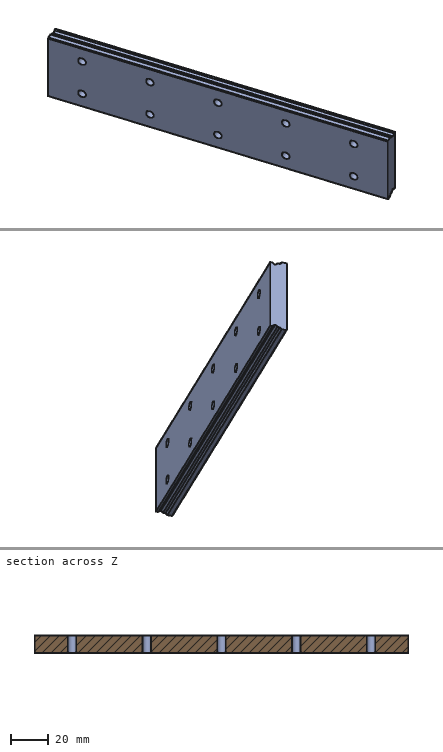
import cadquery as cq

length = 200.0
thickness = 9.5
height = 42.0

edge_chamfer = 0.5
step_height = 1.0
step_run = 1.0
step_from_rear = 5.4

groove_from_rear = 2.7
groove_half_width = 1.7
groove_depth = 1.0
groove_flank_radius = 2.0
lip_width = 0.4
lip_depth = 0.1

hole_diameter = 4.5
hole_columns = 5
hole_rows = 2
column_pitch = 40.0
row_pitch = 23.0

front = -thickness / 2
rear = thickness / 2
top = height / 2
rear_top = top - step_height
step_y = rear - step_from_rear
groove_y = rear - groove_from_rear
flank_half_width = groove_half_width - lip_width
flank_top = rear_top - lip_depth
groove_bottom = rear_top - groove_depth


def plate_body():
    """Upper half of the YZ outline, mirrored about mid-height and extruded along X."""
    return (
        cq.Workplane("YZ")
        .moveTo(front, 0)
        .lineTo(front, top - edge_chamfer)
        .lineTo(front + edge_chamfer, top)
        .lineTo(step_y - step_run, top)
        .lineTo(step_y, rear_top)
        .lineTo(groove_y - groove_half_width, rear_top)
        .lineTo(groove_y - flank_half_width, flank_top)
        .radiusArc((groove_y, groove_bottom), -groove_flank_radius)
        .radiusArc((groove_y + flank_half_width, flank_top), -groove_flank_radius)
        .lineTo(groove_y + groove_half_width, rear_top)
        .lineTo(rear, rear_top)
        .lineTo(rear, 0)
        .mirrorX()
        .extrude(length / 2, both=True)
    )


def mounting_holes():
    """Cylinders running through the full thickness from the rear face."""
    return (
        cq.Workplane("XZ", origin=(0, rear, 0))
        .rarray(column_pitch, row_pitch, hole_columns, hole_rows)
        .circle(hole_diameter / 2)
        .extrude(thickness)
    )


result = plate_body().cut(mounting_holes())